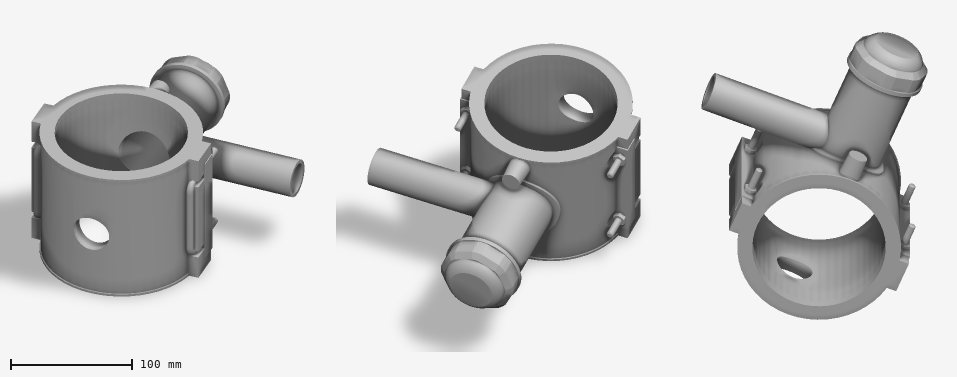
import cadquery as cq
import math

ring_height = 118.0
half_height = ring_height / 2
bore_radius = 54.8
rim_radius = 67.4
body_radius = 66.2
rim_height = 2.1

flange_reach = 74.2
flange_thickness = 13.7
plate_reach = 75.0
plate_thickness = 15.0
plate_height = 95.0

rod_diameter = 6.0
rod_radius = rod_diameter / 2
rod_x = 68.0
rod_z = 35.5
rod_end_y = 37.0
rod_end_chamfer = 1.0
bend_radius = 8.0
rod_bridge_gap = 0.2
rod_bridge_y = -(flange_thickness + rod_bridge_gap + rod_radius)
nut_flats = 10.0
nut_corners = nut_flats / math.cos(math.radians(30))
nut_thickness = 3.8
nut_pocket_diameter = 25.5
nut_pocket_x = 73.5
nut_pocket_depth = 19.0

branch_diameter = 56.0
branch_bore = 46.0
saddle_diameter = 66.0
saddle_radius = 68.0
outlet_diameter = 32.0
outlet_bore = 25.5
outlet_y = 71.0
outlet_end_x = 127.1

cap_flange_diameter = 66.0
cap_flange_thickness = 3.5
grip_radius = 32.1
grip_height = 12.5
grip_count = 8
grip_arc_angle = 15.0
bevel_height = 4.3
bevel_top_radius = 27.6
bevel_top_arc_angle = 11.0
dome_base_radius = 26.2
dome_middle_radius = 24.0
dome_top_radius = 18.7
dome_height = 8.3
overall_length = 236.3
top_y = overall_length - rim_radius
cap_base_y = top_y - dome_height - bevel_height - grip_height - cap_flange_thickness

peg_z = 47.3
peg_tip_diameter = 15.8
peg_base_diameter = 18.5
peg_base_y = 63.8
peg_tip_y = 84.8
drill_diameter = 31.5


def facing_y(x, y, z):
    """Workplane that extrudes toward +Y, with its local x along Z and local y along X."""
    return cq.Workplane(cq.Plane(origin=(x, y, z), xDir=(0, 0, 1), normal=(0, 1, 0)))


def upright_cylinder(radius, height):
    return cq.Workplane("XY").circle(radius).extrude(height / 2, both=True)


def ring_blank():
    """Solid ring body with a raised rim at each end and the flanges on both sides."""
    blank = upright_cylinder(body_radius, ring_height)
    for rim_z in (-half_height, half_height - rim_height):
        blank = blank.union(cq.Workplane("XY", origin=(0, 0, rim_z)).circle(rim_radius).extrude(rim_height))
    flanges = cq.Workplane("XY").box(2 * flange_reach, 2 * flange_thickness, ring_height)
    plates = cq.Workplane("XY").box(
        2 * plate_reach, plate_thickness, plate_height, centered=(True, False, True)
    )
    return blank.union(flanges).union(plates)


def nut_pocket(side, z):
    """Clearance scooped out of the ring body around a nut."""
    pocket = facing_y(side * nut_pocket_x, plate_thickness, z)
    return pocket.circle(nut_pocket_diameter / 2).extrude(nut_pocket_depth)


def rod_slot(side, z):
    """Slot in the lower flange, open to the outside, that takes a U-bolt leg."""
    slot_length = flange_reach - rod_x
    return cq.Workplane("XY").box(
        slot_length, flange_thickness, rod_diameter
    ).translate((side * (rod_x + slot_length / 2), -flange_thickness / 2, z))


def u_bolt(side):
    """Bent rod with two threaded legs toward +Y."""
    bend_y = rod_bridge_y + bend_radius
    bend_z = rod_z - bend_radius
    bend_offset = bend_radius * math.sin(math.radians(45))
    path = (
        cq.Workplane("YZ", origin=(side * rod_x, 0, 0))
        .moveTo(rod_end_y, rod_z)
        .lineTo(bend_y, rod_z)
        .threePointArc((bend_y - bend_offset, bend_z + bend_offset), (rod_bridge_y, bend_z))
        .lineTo(rod_bridge_y, -bend_z)
        .threePointArc((bend_y - bend_offset, -bend_z - bend_offset), (bend_y, -rod_z))
        .lineTo(rod_end_y, -rod_z)
    )
    leg_end = cq.Workplane("XZ", origin=(side * rod_x, rod_end_y, rod_z))
    rod = leg_end.circle(rod_radius).sweep(path)
    return rod.faces(">Y").chamfer(rod_end_chamfer)


def nut(side, z):
    return facing_y(side * rod_x, plate_thickness, z).polygon(6, nut_corners).extrude(nut_thickness)


def peg(z):
    base = facing_y(0, peg_base_y, z).circle(peg_base_diameter / 2)
    return base.workplane(offset=peg_tip_y - peg_base_y).circle(peg_tip_diameter / 2).loft()


def grip_outline(plane, radius, arc_angle):
    """Round outline with equally spaced flats, joined by short arcs."""
    def rim_point(angle):
        turn = math.radians(angle)
        return (radius * math.cos(turn), radius * math.sin(turn))

    pitch = 360 / grip_count
    half_arc = arc_angle / 2
    outline = plane.moveTo(*rim_point(-half_arc))
    for index in range(grip_count):
        middle = index * pitch
        outline = outline.threePointArc(rim_point(middle), rim_point(middle + half_arc))
        if index < grip_count - 1:
            outline = outline.lineTo(*rim_point(middle + pitch - half_arc))
    return outline.close()


def cap_dome(base_y):
    """Domed end with a flat top, turned about the branch axis."""
    return (
        cq.Workplane("XY")
        .moveTo(0, base_y)
        .lineTo(dome_base_radius, base_y)
        .threePointArc((dome_middle_radius, base_y + dome_height / 2), (dome_top_radius, top_y))
        .lineTo(0, top_y)
        .close()
        .revolve(360, (0, 0), (0, 1))
    )


def screw_cap():
    grip_y = cap_base_y + cap_flange_thickness
    bevel_y = grip_y + grip_height
    flange = facing_y(0, cap_base_y, 0).circle(cap_flange_diameter / 2).extrude(cap_flange_thickness)
    grip = grip_outline(facing_y(0, grip_y, 0), grip_radius, grip_arc_angle).extrude(grip_height)
    bevel_base = grip_outline(facing_y(0, bevel_y, 0), grip_radius, grip_arc_angle)
    bevel_top = bevel_base.workplane(offset=bevel_height)
    bevel = grip_outline(bevel_top, bevel_top_radius, bevel_top_arc_angle).loft(ruled=True)
    return flange.union(grip).union(bevel).union(cap_dome(bevel_y + bevel_height))


body = ring_blank()
for side in (-1, 1):
    for z in (-rod_z, rod_z):
        body = body.cut(nut_pocket(side, z)).cut(rod_slot(side, z))

saddle = facing_y(0, 0, 0).circle(saddle_diameter / 2).extrude(saddle_radius)
body = body.union(saddle.intersect(upright_cylinder(saddle_radius, ring_height)))
body = body.union(facing_y(0, 0, 0).circle(branch_diameter / 2).extrude(cap_base_y))
outlet = cq.Workplane("YZ", origin=(0, outlet_y, 0))
body = body.union(outlet.circle(outlet_diameter / 2).extrude(outlet_end_x))
for z in (-peg_z, peg_z):
    body = body.union(peg(z))

body = body.cut(upright_cylinder(bore_radius, ring_height))
body = body.cut(facing_y(0, 0, 0).circle(branch_bore / 2).extrude(cap_base_y))
body = body.cut(outlet.circle(outlet_bore / 2).extrude(outlet_end_x))
body = body.cut(facing_y(0, -rim_radius, 0).circle(drill_diameter / 2).extrude(rim_radius))

body = body.union(screw_cap())
for side in (-1, 1):
    body = body.union(u_bolt(side))
    for z in (-rod_z, rod_z):
        body = body.union(nut(side, z))

result = body